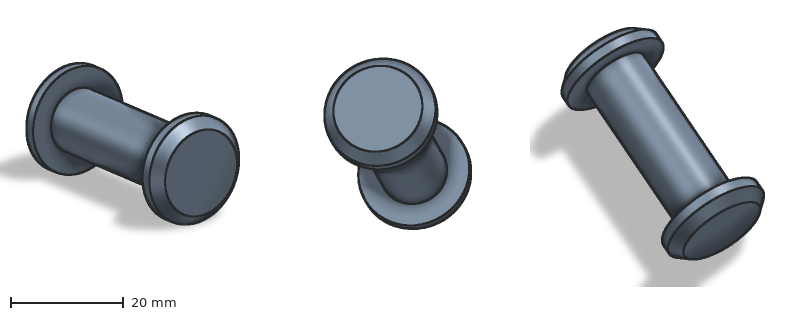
import cadquery as cq

overall_length = 40
head_diameter = 20
shank_diameter = 12
head_thickness = 4
head_chamfer = 2

shank_length = overall_length - 2 * head_thickness


def make_head():
    """Disc starting at X = 0 and growing along +X, chamfered on its outer rim."""
    disc = cq.Workplane("YZ").circle(head_diameter / 2).extrude(head_thickness)
    return disc.faces(">X").chamfer(head_chamfer)


shank = cq.Workplane("YZ").circle(shank_diameter / 2).extrude(shank_length / 2, both=True)
right_head = make_head().translate((shank_length / 2, 0, 0))
left_head = right_head.mirror("YZ")

result = shank.union(right_head).union(left_head)